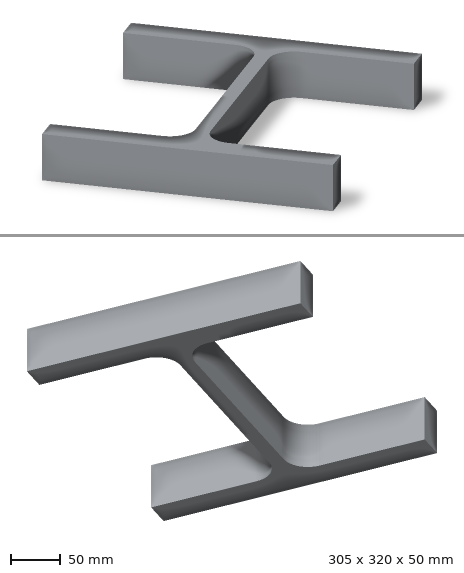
import cadquery as cq

depth = 320.0
flange_width = 305.0
length = 50.0
flange_thickness = 29.0
web_thickness = 16.0
root_radius = 27.0
selection_margin = 3.2

web = cq.Workplane("XY").box(web_thickness, depth, length)

flange_offset = (depth - flange_thickness) / 2
flanges = (
    cq.Workplane("XY")
    .pushPoints([(0, -flange_offset), (0, flange_offset)])
    .box(flange_width, flange_thickness, length)
)

root_x = web_thickness / 2
root_y = depth / 2 - flange_thickness
root_corners = cq.selectors.BoxSelector(
    (-root_x - selection_margin, -root_y - selection_margin, -length),
    (root_x + selection_margin, root_y + selection_margin, length),
)
result = web.union(flanges).edges("|Z").edges(root_corners).fillet(root_radius)